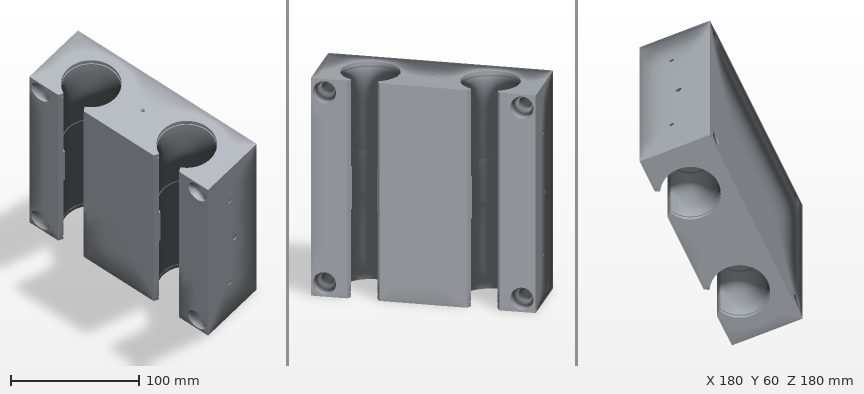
import cadquery as cq
import math

width = 180.0
depth = 60.0
height = 180.0

bore_offset = 48.0
bore_from_front = 25.0
bore_radius = 23.5
bore_y = bore_from_front - depth / 2

band_radius = 22.5
band_height = 35.0

groove_radius = 24.5
groove_width = 1.5
groove_from_end = 3.2

mouth_width = 25.7
mouth_side_angle = 30.0

mount_spacing = 158.0
mount_diameter = 10.6
counterbore_diameter = 18.4
counterbore_depth = 11.0

dimple_diameter = 3.6
dimple_depth = 1.8
dimple_from_front = 29.9

side_hole_diameter = 4.0
side_hole_spacing = 100.8
side_hole_from_front = 27.0
center_hole_diameter = 5.0
center_hole_from_front = 33.0


def cylinder_z(x, y, z_bottom, length, radius):
    """Upright cylinder standing on z_bottom."""
    return cq.Workplane("XY", origin=(x, y, z_bottom)).circle(radius).extrude(length)


def bore_cutter(x):
    """Everything removed for one bore: stepped cylinder, grooves and mouth."""
    cutter = cylinder_z(x, bore_y, -height / 2, height, band_radius)
    plain_length = (height - band_height) / 2
    for z_bottom in (-height / 2, band_height / 2):
        cutter = cutter.union(cylinder_z(x, bore_y, z_bottom, plain_length, bore_radius))
    lower_groove = -height / 2 + groove_from_end
    upper_groove = height / 2 - groove_from_end - groove_width
    for z_bottom in (lower_groove, upper_groove):
        cutter = cutter.union(cylinder_z(x, bore_y, z_bottom, groove_width, groove_radius))
    return cutter.union(mouth_cutter(x))


def mouth_cutter(x):
    """Trapezoidal prism joining the bore to the front face, widest at the face."""
    mouth_depth = bore_from_front - band_radius / 2
    outer = mouth_width / 2
    inner = outer - mouth_depth * math.tan(math.radians(mouth_side_angle))
    y_front = -depth / 2
    y_back = y_front + mouth_depth
    corners = [(x - outer, y_front), (x + outer, y_front), (x + inner, y_back), (x - inner, y_back)]
    return cq.Workplane("XY", origin=(0, 0, -height / 2)).polyline(corners).close().extrude(height)


def side_hole_cutter(from_front, z, diameter):
    """Hole along X from the right-hand bore out through the +X face."""
    start = cq.Workplane("YZ", origin=(bore_offset, from_front - depth / 2, z))
    return start.circle(diameter / 2).extrude(width / 2 - bore_offset)


def dimple_cutter():
    """Cone pointing down from the top face."""
    top_center = cq.Vector(0, dimple_from_front - depth / 2, height / 2)
    down = cq.Vector(0, 0, -1)
    return cq.Workplane(cq.Solid.makeCone(dimple_diameter / 2, 0, dimple_depth, top_center, down))


result = cq.Workplane("XY").box(width, depth, height)

for bore_x in (-bore_offset, bore_offset):
    result = result.cut(bore_cutter(bore_x))

result = (
    result.faces("<Y").workplane(origin=(0, -depth / 2, 0))
    .rect(mount_spacing, mount_spacing, forConstruction=True).vertices()
    .cboreHole(mount_diameter, counterbore_diameter, counterbore_depth)
)

result = result.cut(dimple_cutter())

for hole_z in (-side_hole_spacing / 2, side_hole_spacing / 2):
    result = result.cut(side_hole_cutter(side_hole_from_front, hole_z, side_hole_diameter))
result = result.cut(side_hole_cutter(center_hole_from_front, 0, center_hole_diameter))